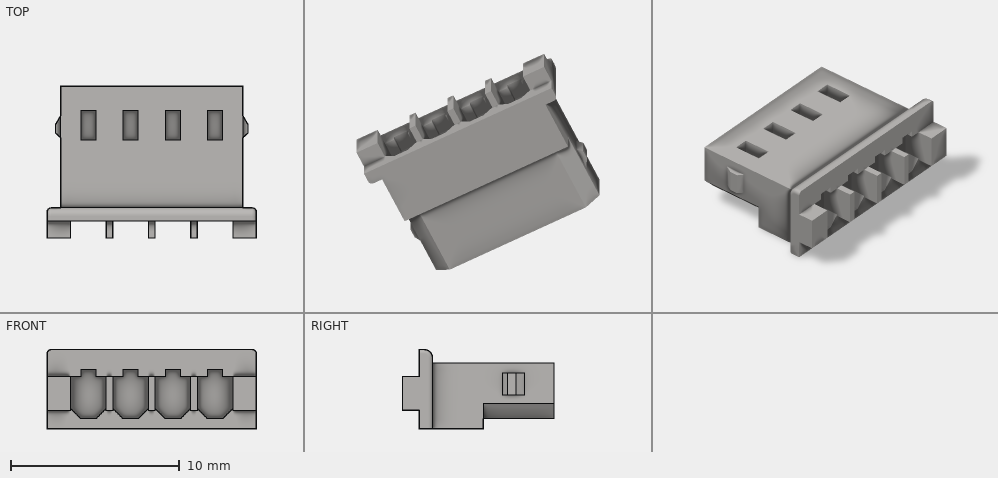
import cadquery as cq


contact_count = 4
pitch = 2.5
contact_xs = [(i - (contact_count - 1) / 2) * pitch for i in range(contact_count)]

flange_width = 12.4
flange_height = 4.7
flange_thickness = 0.8
flange_top_radius = 0.5
flange_end_radius = 0.25

body_width = 10.8
body_back = 8.0
body_top = 3.9
step_y = 3.8
rear_bottom = 0.6
rear_chamfer_top = 1.5
rear_chamfer_inset = rear_chamfer_top - rear_bottom

wall_thickness = 0.4
cavity_width = pitch - wall_thickness
cavity_top = 3.1
cavity_floor = 0.6
cavity_depth = 1.0
key_width = 0.9
cavity_shoulder = cavity_floor + (cavity_width - key_width) / 2
key_top = 3.5

window_front = 4.8
window_back = 6.55
window_floor = cavity_top

post_length = 1.0
post_bottom = 1.1
post_top = cavity_top

latch_height = 0.3
latch_bottom = 2.0
latch_top = 3.3
latch_front = 4.95
latch_crest_front = 5.22
latch_crest_back = 5.73
latch_back = 6.25


def box(x0, x1, y0, y1, z0, z1):
    """Box between two opposite corners."""
    return cq.Workplane("XY").box(x1 - x0, y1 - y0, z1 - z0, centered=False).translate((x0, y0, z0))


def make_flange():
    half = flange_width / 2
    flange = box(-half, half, 0, flange_thickness, 0, flange_height)
    flange = flange.edges(">Y and >Z").fillet(flange_top_radius)
    for end in ("<X", ">X"):
        flange = flange.faces(end).edges("not(<Y or <Z)").fillet(flange_end_radius)
    return flange


def make_body():
    half = body_width / 2
    front = box(-half, half, 0, step_y, 0, body_top)
    rear_profile = [
        (-half, body_top),
        (-half, rear_chamfer_top),
        (-half + rear_chamfer_inset, rear_bottom),
        (half - rear_chamfer_inset, rear_bottom),
        (half, rear_chamfer_top),
        (half, body_top),
    ]
    rear = cq.Workplane("XZ").polyline(rear_profile).close().extrude(-body_back)
    return front.union(rear)


def make_posts():
    """Wide end posts and the thin ribs between neighbouring cavities."""
    post_inner = contact_xs[-1] + cavity_width / 2
    half = flange_width / 2
    posts = box(-half, -post_inner, -post_length, 0, post_bottom, post_top)
    posts = posts.union(box(post_inner, half, -post_length, 0, post_bottom, post_top))
    for x in contact_xs[:-1]:
        rib_start = x + cavity_width / 2
        posts = posts.union(
            box(rib_start, rib_start + wall_thickness, -post_length, 0, post_bottom, post_top)
        )
    return posts


def make_cavity(x):
    """Contact cavity with a keyed top and a bevelled floor, open at the flange face."""
    half = cavity_width / 2
    key_half = key_width / 2
    profile = [
        (x - key_half, cavity_floor),
        (x + key_half, cavity_floor),
        (x + half, cavity_shoulder),
        (x + half, cavity_top),
        (x + key_half, cavity_top),
        (x + key_half, key_top),
        (x - key_half, key_top),
        (x - key_half, cavity_top),
        (x - half, cavity_top),
        (x - half, cavity_shoulder),
    ]
    return cq.Workplane("XZ").polyline(profile).close().extrude(-cavity_depth)


def make_window(x):
    return box(x - key_width / 2, x + key_width / 2, window_front, window_back, window_floor, body_top)


def make_latch():
    """Ramped latch on the +X side."""
    side = body_width / 2
    profile = [
        (side, latch_front),
        (side + latch_height, latch_crest_front),
        (side + latch_height, latch_crest_back),
        (side, latch_back),
    ]
    latch = cq.Workplane("XY").workplane(offset=latch_bottom).polyline(profile).close()
    return latch.extrude(latch_top - latch_bottom)


latch = make_latch()
result = make_flange().union(make_body()).union(make_posts())
result = result.union(latch).union(latch.mirror("YZ"))
for contact_x in contact_xs:
    result = result.cut(make_cavity(contact_x)).cut(make_window(contact_x))